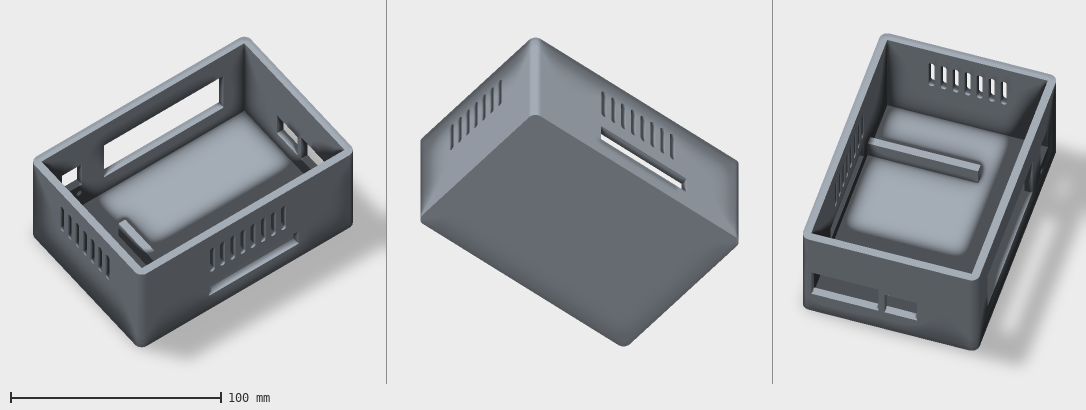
import cadquery as cq

width = 88.0
length = 128.0
height = 56.0
wall = 4.0
corner_radius = wall
inner_x = width / 2 - wall
inner_y = length / 2 - wall
cut_depth = 2 * wall

window_y = (-23.0, 47.9)
window_z = (15.7, 40.3)

switch_y = (-47.9, -36.1)
switch_z = (20.2, 35.8)
indicator_diameter = 3.2
indicator_y = -37.6
indicator_z = 14.6

side_slot_y = (window_y[0], 30.0)
side_slot_z = (10.6, switch_z[0])

back_sill = 13.3
wide_port_x = (5.1, 38.7)
wide_port_z = (back_sill, 30.2)
narrow_port_x = (-14.1, 2.3)
narrow_port_z = (back_sill, 27.3)

vent_width = 3.0
vent_length = 17.9
vent_pitch = 6.0
vent_bottom = 28.2
vent_z = vent_bottom + vent_length / 2
front_vent_count = 7
side_vent_count = 8

rib_x_start = -15.1
rib_y_center = -31.0
rib_top = back_sill


def block(x_range, y_range, z_range):
    """Axis-aligned box spanning the three (low, high) ranges."""
    sizes = [high - low for low, high in (x_range, y_range, z_range)]
    corner = (x_range[0], y_range[0], z_range[0])
    return cq.Workplane("XY").box(*sizes, centered=False).translate(corner)


def through_range(wall_center):
    """Range that passes through the wall centred at the given coordinate."""
    return (wall_center - cut_depth / 2, wall_center + cut_depth / 2)


def vent_row(plane_name, count, wall_center):
    """Row of vents as a cutter; the plane's local x runs along the wall."""
    cutter_start = wall_center - cut_depth / 2
    centers = [((i - (count - 1) / 2) * vent_pitch, vent_z) for i in range(count)]
    return (
        cq.Workplane(plane_name)
        .workplane(offset=cutter_start)
        .pushPoints(centers)
        .slot2D(vent_length, vent_width, 90)
        .extrude(cut_depth)
    )


left_wall = through_range(-width / 2 + wall / 2)
right_wall = through_range(width / 2 - wall / 2)
back_wall = through_range(length / 2 - wall / 2)

outer = (
    cq.Workplane("XY")
    .box(width, length, height, centered=(True, True, False))
    .edges("|Z")
    .fillet(corner_radius)
)
cavity = block((-inner_x, inner_x), (-inner_y, inner_y), (wall, height))
result = outer.cut(cavity)

rib = block(
    (rib_x_start, inner_x + wall / 2),
    (rib_y_center - wall / 2, rib_y_center + wall / 2),
    (wall / 2, rib_top),
)
result = result.union(rib)

result = result.cut(block(left_wall, window_y, window_z))
result = result.cut(block(left_wall, switch_y, switch_z))
result = result.cut(block(right_wall, side_slot_y, side_slot_z))
result = result.cut(block(wide_port_x, back_wall, wide_port_z))
result = result.cut(block(narrow_port_x, back_wall, narrow_port_z))

indicator = (
    cq.Workplane("YZ")
    .workplane(offset=left_wall[0])
    .center(indicator_y, indicator_z)
    .circle(indicator_diameter / 2)
    .extrude(cut_depth)
)
result = result.cut(indicator)

result = result.cut(vent_row("XZ", front_vent_count, length / 2 - wall / 2))
result = result.cut(vent_row("YZ", side_vent_count, width / 2 - wall / 2))